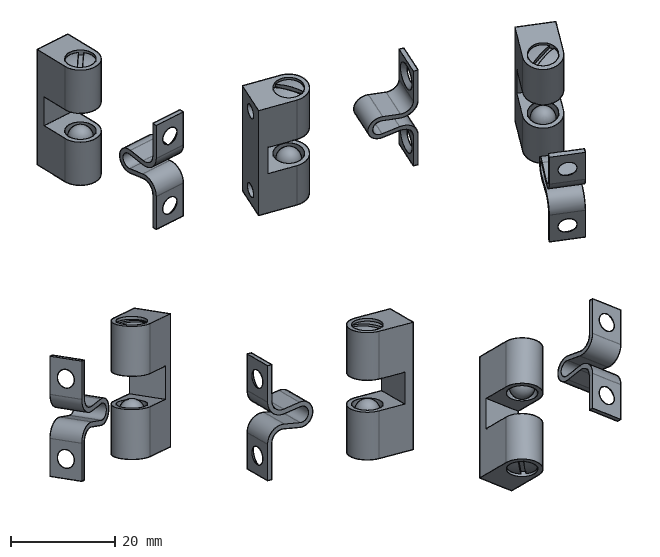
import cadquery as cq
import math

HOUSING_LENGTH = 12.0
HOUSING_WIDTH = 8.0
HOUSING_HEIGHT = 26.6
TOP_Z = HOUSING_HEIGHT / 2
NOTCH_HEIGHT = 6.63
BACK_WALL = 2.0
BORE_RADIUS = 3.0
END_RADIUS = HOUSING_WIDTH / 2
BORE_X = HOUSING_LENGTH - END_RADIUS
MOUNT_RADIUS = 1.5
MOUNT_Z = 9.98

SCREW_RECESS = 0.57
SCREW_RIM_Z = TOP_Z - SCREW_RECESS
SCREW_INNER_Z = 10.75
SCREW_CHAMFER = 0.85
SCREW_DOME_RISE = 0.47
SCREW_TIP_Z = SCREW_RIM_Z + SCREW_DOME_RISE
SLOT_WIDTH = 1.0
SLOT_DEPTH = 1.0
SLOT_ANGLE = -45

NOTCH_Z = NOTCH_HEIGHT / 2
BALL_RADIUS = 2.5
BALL_PROTRUSION = 1.0
BALL_Z = NOTCH_Z - BALL_PROTRUSION + BALL_RADIUS

CLIP_MAX_X = 33.5
CLIP_LENGTH = 10.5
CLIP_WIDTH = 7.07
CLIP_HEIGHT = 24.02
STRIP = 1.0
LOOP_OUTER_RADIUS = 2.68
BEND_OUTER_RADIUS = 3.35
NECK_HALF_GAP = 1.05
LOOP_X = CLIP_MAX_X - CLIP_LENGTH + LOOP_OUTER_RADIUS
BEND_X = CLIP_MAX_X - BEND_OUTER_RADIUS
BEND_Z = NECK_HALF_GAP + BEND_OUTER_RADIUS
CLIP_HOLE_Z = 8.0
CLIP_HOLE_RADIUS = 1.85
COUNTERSINK_RADIUS = 2.8


def make_housing():
    body = (
        cq.Workplane("XY")
        .moveTo(0, -END_RADIUS)
        .lineTo(BORE_X, -END_RADIUS)
        .threePointArc((HOUSING_LENGTH, 0), (BORE_X, END_RADIUS))
        .lineTo(0, END_RADIUS)
        .close()
        .extrude(TOP_Z, both=True)
    )
    notch = (
        cq.Workplane("XY")
        .box(HOUSING_LENGTH, HOUSING_WIDTH, NOTCH_HEIGHT, centered=(False, True, True))
        .translate((BACK_WALL, 0, 0))
    )
    bore = (
        cq.Workplane("XY")
        .center(BORE_X, 0)
        .circle(BORE_RADIUS)
        .extrude(TOP_Z, both=True)
    )
    mount_holes = (
        cq.Workplane("YZ")
        .pushPoints([(0, -MOUNT_Z), (0, MOUNT_Z)])
        .circle(MOUNT_RADIUS)
        .extrude(BORE_X)
    )
    return body.cut(notch).cut(bore).cut(mount_holes)


def dome_middle():
    """Point halfway out along the screw's domed end, as (radius, z)."""
    dome_radius = (BORE_RADIUS**2 + SCREW_DOME_RISE**2) / (2 * SCREW_DOME_RISE)
    half_radius = BORE_RADIUS / 2
    drop = dome_radius - math.sqrt(dome_radius**2 - half_radius**2)
    return half_radius, SCREW_TIP_Z - drop


def make_screw():
    """Upper screw: domed, slotted outer end and chamfered inner end."""
    screw = (
        cq.Workplane("XZ")
        .moveTo(0, SCREW_INNER_Z)
        .lineTo(BORE_RADIUS - SCREW_CHAMFER, SCREW_INNER_Z)
        .lineTo(BORE_RADIUS, SCREW_INNER_Z + SCREW_CHAMFER)
        .lineTo(BORE_RADIUS, SCREW_RIM_Z)
        .threePointArc(dome_middle(), (0, SCREW_TIP_Z))
        .close()
        .revolve(360, (0, 0), (0, 1))
        .translate((BORE_X, 0, 0))
    )
    slot = (
        cq.Workplane("XY")
        .box(2 * BORE_RADIUS + SLOT_WIDTH, SLOT_WIDTH, 2 * SLOT_DEPTH)
        .rotate((0, 0, 0), (0, 0, 1), SLOT_ANGLE)
        .translate((BORE_X, 0, SCREW_TIP_Z))
    )
    return screw.cut(slot)


def make_ball():
    """Upper ball, centred on the bore."""
    return cq.Workplane("XY").sphere(BALL_RADIUS).translate((BORE_X, 0, BALL_Z))


def polar(center, radius, angle):
    return center[0] + radius * math.cos(angle), center[1] + radius * math.sin(angle)


def make_strip():
    """Bent strip: one symmetric outline traced along its two faces."""
    loop = (LOOP_X, 0)
    bend = (BEND_X, BEND_Z)
    loop_inner = LOOP_OUTER_RADIUS - STRIP
    bend_inner = BEND_OUTER_RADIUS - STRIP
    spacing = math.hypot(BEND_X - LOOP_X, BEND_Z)
    center_line = math.atan2(BEND_Z, BEND_X - LOOP_X)
    normal = center_line + math.acos((LOOP_OUTER_RADIUS + bend_inner) / spacing)
    bend_start = normal - math.pi
    leg_end = CLIP_HEIGHT / 2

    def upper_face(loop_radius, bend_radius):
        """Points from the leg end to the loop: leg end, bend arc (3), loop arc start."""
        return [
            (BEND_X + bend_radius, leg_end),
            polar(bend, bend_radius, 0),
            polar(bend, bend_radius, bend_start / 2),
            polar(bend, bend_radius, bend_start),
            polar(loop, loop_radius, normal),
        ]

    def trace(outline, face, loop_radius):
        """Continue the outline down one face, from the upper leg end to the lower one."""
        bend_leg, bend_middle, bend_flank, loop_flank = face[1:]
        lower = [(x, -z) for x, z in face]
        return (
            outline.lineTo(*bend_leg)
            .threePointArc(bend_middle, bend_flank)
            .lineTo(*loop_flank)
            .threePointArc((LOOP_X - loop_radius, 0), lower[4])
            .lineTo(*lower[3])
            .threePointArc(lower[2], lower[1])
            .lineTo(*lower[0])
        )

    outer = upper_face(LOOP_OUTER_RADIUS, bend_inner)
    inner = [(x, -z) for x, z in upper_face(loop_inner, BEND_OUTER_RADIUS)]
    outline = cq.Workplane("XZ", origin=(0, CLIP_WIDTH / 2, 0)).moveTo(*outer[0])
    outline = trace(outline, outer, LOOP_OUTER_RADIUS).lineTo(*inner[0])
    return trace(outline, inner, loop_inner).close().extrude(CLIP_WIDTH)


def make_clip():
    clip = make_strip()
    for z in (-CLIP_HOLE_Z, CLIP_HOLE_Z):
        countersink = cq.Solid.makeCone(
            COUNTERSINK_RADIUS,
            CLIP_HOLE_RADIUS,
            STRIP,
            pnt=cq.Vector(CLIP_MAX_X - STRIP, 0, z),
            dir=cq.Vector(1, 0, 0),
        )
        clip = clip.cut(countersink)
    return clip


def upper_and_lower(upper):
    return [upper.val(), upper.mirror("XY").val()]


housing = make_housing()
screws = upper_and_lower(make_screw())
balls = upper_and_lower(make_ball())
clip = make_clip()

result = cq.Compound.makeCompound([housing.val(), *screws, *balls, clip.val()])